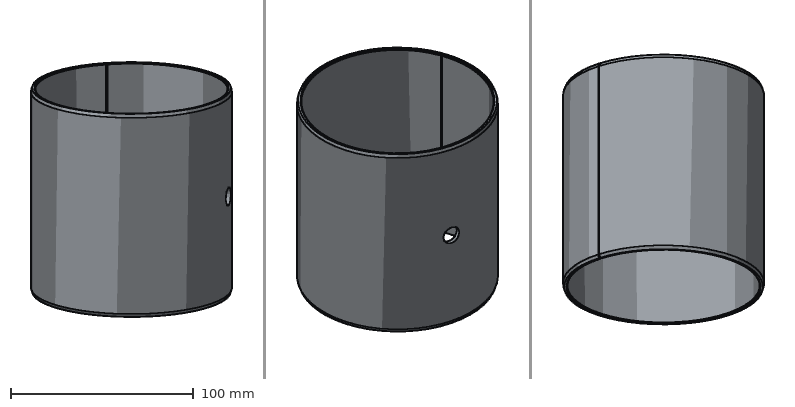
import cadquery as cq

height = 115.0
outer_diameter = 110.0
wall = 2.5
outer_bevel_height = 2.0
inner_bevel_height = 0.6
outer_bevel_depth = 0.7
inner_bevel_depth = 0.6
gap_angle = 1.0
hole_diameter = 10.0
hole_spacing = 120.0

outer_radius = outer_diameter / 2
inner_radius = outer_radius - wall
hole_angle = 180 - gap_angle / 2 - hole_spacing


def make_split_sleeve():
    """Thin-walled tube with beveled rims, left open by a narrow split at -X."""
    profile = (
        cq.Workplane("XZ")
        .moveTo(-inner_radius, inner_bevel_height)
        .lineTo(-inner_radius - inner_bevel_depth, 0)
        .lineTo(-outer_radius + outer_bevel_depth, 0)
        .lineTo(-outer_radius, outer_bevel_height)
        .lineTo(-outer_radius, height - outer_bevel_height)
        .lineTo(-outer_radius + outer_bevel_depth, height)
        .lineTo(-inner_radius - inner_bevel_depth, height)
        .lineTo(-inner_radius, height - inner_bevel_height)
        .close()
    )
    return profile.revolve(360 - gap_angle, (0, 0, 0), (0, 1, 0))


def make_radial_hole():
    """Mid-height hole through one side of the wall."""
    drill = cq.Workplane("YZ").circle(hole_diameter / 2).extrude(outer_diameter)
    return drill.rotate((0, 0, 0), (0, 0, 1), hole_angle).translate((0, 0, height / 2))


result = make_split_sleeve().cut(make_radial_hole())